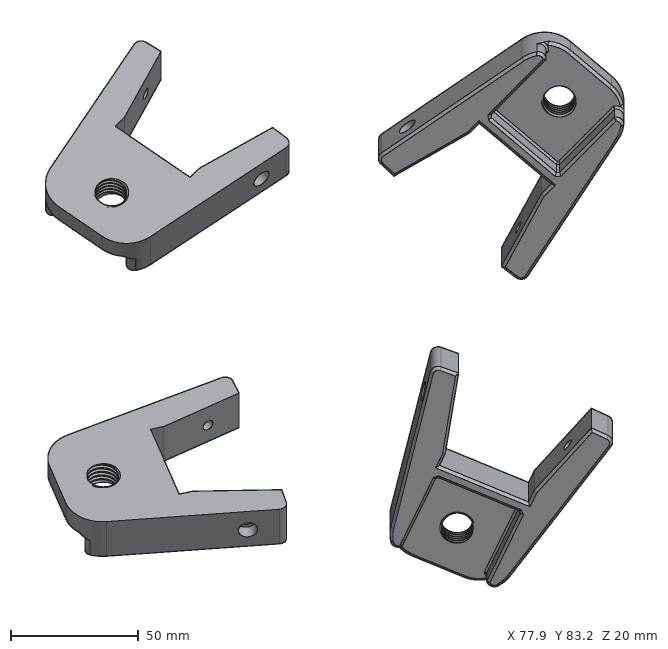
import cadquery as cq
import math

length = 83.15
width = 77.8
height = 20.0
front_y = -18.5
tip_y = front_y + length

front_flat_half = 11.0
front_radius = 15.0
side_angle = math.radians(11 + 9 / 60)
tip_inner_half = 28.5
tip_slope = math.radians(2.7)
tip_radius = 3.2
slot_half = 19.1
slot_floor_y = front_y + 44.0
slot_bend_y = slot_floor_y + 5.6
bottom_chamfer = 1.2

pocket_height = 10.0
pocket_half = 18.2
pocket_back_y = slot_floor_y - 5.0
pocket_chamfer = 0.9
lip_chamfer = 1.25
lip_end_y = front_y + 4.1
wall_end_y = front_y + 6.15
wall_nose_y = front_y + 5.0
wall_outer_half = 23.0

thread_minor_radius = 6.2
thread_major_radius = 7.0
thread_pitch = 2.0
thread_root_width = 0.25
thread_overlap = 0.2
thread_start_angle = 45.0

screw_y = front_y + 66.85
screw_z = height / 2
screw_diameter = 4.5
counterbore_diameter = 7.6
counterbore_depth = 5.5
hole_reach = 24.95

front_corner_half = front_flat_half + front_radius * math.tan((math.pi / 2 - side_angle) / 2)


def side_half_width(y):
    """Half width of the straight outer side at a given y."""
    return front_corner_half + (y - front_y) * math.tan(side_angle)


def fork_slab(bottom_z, top_z):
    """Fork outline with rounded outer corners, extruded between two heights."""
    tip_fall = (side_half_width(tip_y) - tip_inner_half) * math.tan(tip_slope)
    tip_fall /= 1 + math.tan(side_angle) * math.tan(tip_slope)
    tip_corner_y = tip_y - tip_fall
    slab = (
        cq.Workplane("XY", origin=(0, 0, bottom_z))
        .moveTo(0, front_y)
        .lineTo(front_corner_half, front_y)
        .lineTo(side_half_width(tip_corner_y), tip_corner_y)
        .lineTo(tip_inner_half, tip_y)
        .lineTo(slot_half, slot_bend_y)
        .lineTo(slot_half, slot_floor_y)
        .lineTo(0, slot_floor_y)
        .mirrorY()
        .extrude(top_z - bottom_z)
    )
    middle_z = (bottom_z + top_z) / 2
    for x_sign in (-1, 1):
        front_corner = (x_sign * front_corner_half, front_y, middle_z)
        slab = slab.edges(cq.NearestToPointSelector(front_corner)).fillet(front_radius)
        tip_corner = (x_sign * side_half_width(tip_corner_y), tip_corner_y, middle_z)
        slab = slab.edges(cq.NearestToPointSelector(tip_corner)).fillet(tip_radius)
    return slab


def pocket_outline():
    """Plan of the space between the round-nosed side walls."""
    wall_middle = (pocket_half + wall_outer_half) / 2
    return (
        cq.Workplane("XY")
        .moveTo(0, front_y - length)
        .lineTo(width, front_y - length)
        .lineTo(width, wall_end_y)
        .lineTo(wall_outer_half, wall_end_y)
        .threePointArc((wall_middle, wall_nose_y), (pocket_half, wall_end_y))
        .lineTo(pocket_half, pocket_back_y - pocket_chamfer)
        .lineTo(pocket_half - pocket_chamfer, pocket_back_y)
        .lineTo(0, pocket_back_y)
        .mirrorY()
    )


def pocket():
    """Space below the front plate, with a bevelled ceiling and a flared mouth."""
    bevel_z = pocket_height - pocket_chamfer
    space = pocket_outline().extrude(bevel_z)
    ceiling = pocket_outline().extrude(pocket_chamfer, taper=45)
    mouth = pocket_outline().offset2D(bottom_chamfer, "intersection")
    mouth = mouth.extrude(bottom_chamfer, taper=45)
    return space.union(ceiling.translate((0, 0, bevel_z))).union(mouth)


def lip_bevel():
    """Material outside the bevelled lower edge of the overhanging front plate."""
    slab = fork_slab(pocket_height, height)
    bevelled = slab.faces("<Z").chamfer(lip_chamfer)
    overhang = (
        cq.Workplane("YZ")
        .moveTo(front_y, pocket_height)
        .lineTo(lip_end_y, pocket_height)
        .lineTo(lip_end_y - lip_chamfer, pocket_height + lip_chamfer)
        .lineTo(front_y, pocket_height + lip_chamfer)
        .close()
        .extrude(width / 2, both=True)
    )
    return slab.cut(bevelled).intersect(overhang)


def thread_cutters():
    """Helical V groove running past both faces of the plate, and the bore inside it."""
    start_z = pocket_height - 2 * thread_pitch
    thread_height = height + 2 * thread_pitch - start_z
    groove_depth = thread_major_radius - thread_minor_radius
    inner_radius = thread_minor_radius - thread_overlap
    root_half = thread_root_width / 2
    flank_slope = (thread_pitch / 2 - thread_root_width - root_half) / groove_depth
    inner_half = root_half + flank_slope * (thread_major_radius - inner_radius)
    helix = cq.Wire.makeHelix(thread_pitch, thread_height, thread_minor_radius)
    groove = (
        cq.Workplane("XZ")
        .moveTo(inner_radius, -inner_half)
        .lineTo(thread_major_radius, -root_half)
        .lineTo(thread_major_radius, root_half)
        .lineTo(inner_radius, inner_half)
        .close()
        .sweep(cq.Workplane(helix), isFrenet=True)
    )
    turns_to_top = (height - start_z) / thread_pitch
    groove = groove.rotate((0, 0, 0), (0, 0, 1), thread_start_angle - 360 * turns_to_top)
    groove = groove.translate((0, 0, start_z))
    bore = cq.Workplane("XY").circle(thread_minor_radius).extrude(2 * height)
    return groove, bore


def screw_hole(x_sign):
    """Counterbored hole entering square to one outer side."""
    entry = cq.Vector(x_sign * side_half_width(screw_y), screw_y, screw_z)
    inward = cq.Vector(-x_sign * math.cos(side_angle), math.sin(side_angle), 0)
    outside = entry - inward * counterbore_depth
    shank = cq.Solid.makeCylinder(screw_diameter / 2, hole_reach, outside, inward)
    counterbore = cq.Solid.makeCylinder(counterbore_diameter / 2, 2 * counterbore_depth, outside, inward)
    return shank.fuse(counterbore)


result = fork_slab(0, height).faces("<Z").chamfer(bottom_chamfer)
result = result.cut(pocket())
result = result.cut(lip_bevel())
for cutter in thread_cutters():
    result = result.cut(cutter)
for side in (-1, 1):
    result = result.cut(screw_hole(side))